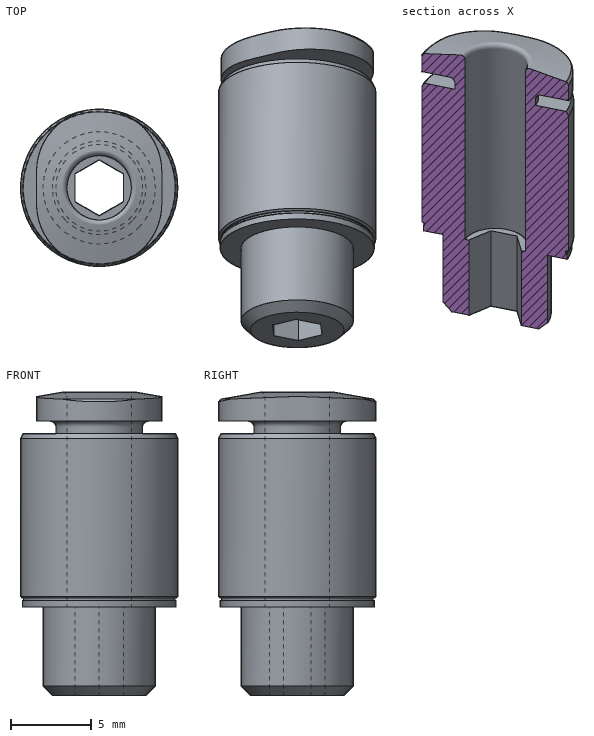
import cadquery as cq
import math

total_height = 18.9
stem_radius = 7.0 / 2
stem_chamfer = 0.59

flange_radius = 9.6 / 2
flange_bottom_z = 5.5
flange_top_z = 5.92
groove_radius = 4.72
groove_top_z = 6.07

body_radius = 9.8 / 2
body_bottom_z = 6.18
body_top_z = 16.31
body_shoulder_z = 16.0
body_rim_z = 16.2
body_rim_radius = 4.82
body_top_radius = 4.75

neck_radius = 5.4 / 2
neck_fillet = 0.35
button_bottom_z = 17.09
button_width = 7.8
button_length = 2 * body_radius
button_cone_angle = 10.0
button_rim_radius = 4.75
button_rim_drop = 0.17

bore_radius = 4.0 / 2
bore_mouth_radius = 0.3
bore_floor_z = flange_bottom_z
hex_across_flats = 3.0


def make_body():
    """Stem, flange, groove, body and neck as one turned profile."""
    return (
        cq.Workplane("XZ")
        .moveTo(0, 0)
        .lineTo(stem_radius - stem_chamfer, 0)
        .lineTo(stem_radius, stem_chamfer)
        .lineTo(stem_radius, flange_bottom_z)
        .lineTo(flange_radius, flange_bottom_z)
        .lineTo(flange_radius, flange_top_z)
        .lineTo(groove_radius, flange_top_z)
        .lineTo(groove_radius, groove_top_z)
        .lineTo(flange_radius, groove_top_z)
        .lineTo(body_radius, body_bottom_z)
        .lineTo(body_radius, body_shoulder_z)
        .lineTo(body_rim_radius, body_rim_z)
        .lineTo(body_top_radius, body_top_z)
        .lineTo(neck_radius, body_top_z)
        .lineTo(neck_radius, button_bottom_z - neck_fillet)
        .radiusArc((neck_radius + neck_fillet, button_bottom_z), neck_fillet)
        .lineTo(0, button_bottom_z)
        .close()
        .revolve(360, (0, 0), (0, 1))
    )


def make_button():
    """Rounded oblong button, long along Y, with a shallow conical top and a bevelled rim."""
    oblong = (
        cq.Workplane("XY", origin=(0, 0, button_bottom_z))
        .slot2D(button_length, button_width, 90)
        .extrude(total_height - button_bottom_z)
    )
    crown_radius = bore_radius + bore_mouth_radius
    cone_drop = (button_rim_radius - crown_radius) * math.tan(math.radians(button_cone_angle))
    rim_z = total_height - cone_drop
    cone_envelope = (
        cq.Workplane("XZ")
        .moveTo(0, button_bottom_z)
        .lineTo(body_radius, button_bottom_z)
        .lineTo(body_radius, rim_z - button_rim_drop)
        .lineTo(button_rim_radius, rim_z)
        .lineTo(crown_radius, total_height)
        .lineTo(0, total_height)
        .close()
        .revolve(360, (0, 0), (0, 1))
    )
    return oblong.intersect(cone_envelope)


def make_bore():
    """Round bore whose mouth flares out in a quarter round."""
    return (
        cq.Workplane("XZ")
        .moveTo(0, bore_floor_z)
        .lineTo(bore_radius, bore_floor_z)
        .lineTo(bore_radius, total_height - bore_mouth_radius)
        .radiusArc((bore_radius + bore_mouth_radius, total_height), bore_mouth_radius)
        .lineTo(0, total_height)
        .close()
        .revolve(360, (0, 0), (0, 1))
    )


def make_hex_socket():
    """Hexagon through the stem with two corners on the Y axis."""
    across_corners = hex_across_flats / math.cos(math.radians(30))
    return (
        cq.Workplane("XY")
        .transformed(rotate=(0, 0, 90))
        .polygon(6, across_corners)
        .extrude(bore_floor_z)
    )


result = make_body().union(make_button()).cut(make_bore()).cut(make_hex_socket())